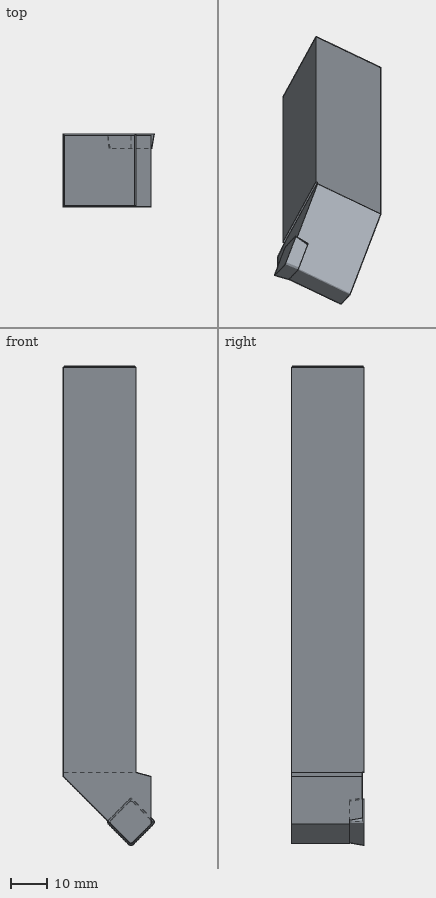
import cadquery as cq
import math

shank_width = 20.0
overall_height = 131.41
end_chamfer = 0.4

insert_side = 9.525
insert_thickness = 3.97
insert_nose_radius = 0.8
relief_angle = 7.0
insert_turn = 45.0
overall_width = 25.0

shoulder_height = 20.05
shoulder_slope = 15.0
head_width = 24.1
head_recess = 0.5
head_tip_radius = 0.4

nose_setback = insert_nose_radius * (math.sqrt(2) - 1)
insert_reach = insert_side / math.sqrt(2) - nose_setback
insert_x = overall_width - insert_reach
insert_z = insert_reach

relief_inset = insert_thickness * math.tan(math.radians(relief_angle))
seat_half_diagonal = (insert_side - 2 * relief_inset) / math.sqrt(2)

tip_z = insert_z - seat_half_diagonal
left_flank_top_z = tip_z + insert_x
right_flank_top_z = tip_z + head_width - insert_x
shoulder_drop = (head_width - shank_width) * math.tan(math.radians(shoulder_slope))


def make_insert_blank():
    """Sharp-cornered square block tapering from the rake face to the seating face."""
    rake_plane = cq.Plane(origin=(insert_x, shank_width, insert_z), xDir=(1, 0, 0), normal=(0, -1, 0))
    return (
        cq.Workplane(rake_plane)
        .transformed(rotate=(0, 0, insert_turn))
        .rect(insert_side, insert_side)
        .extrude(insert_thickness, taper=relief_angle)
    )


def make_insert():
    """Insert blank with its four corners rounded to the nose radius."""
    return make_insert_blank().edges("not(<Y or >Y)").fillet(insert_nose_radius)


def make_holder():
    """Shank and head in one piece, with a sharp-cornered pocket that seats the insert."""
    holder = (
        cq.Workplane("XZ")
        .moveTo(0, overall_height)
        .lineTo(shank_width, overall_height)
        .lineTo(shank_width, shoulder_height)
        .lineTo(head_width, shoulder_height - shoulder_drop)
        .lineTo(head_width, right_flank_top_z)
        .lineTo(insert_x, tip_z)
        .lineTo(0, left_flank_top_z)
        .close()
        .extrude(-shank_width)
    )
    holder = holder.edges("|Y and <Z").fillet(head_tip_radius)
    holder = holder.faces(">Z").chamfer(end_chamfer)

    recess = cq.Workplane("XY").box(head_width, head_recess, shoulder_height, centered=False)
    holder = holder.cut(recess.translate((0, shank_width - head_recess, 0)))
    return holder.cut(make_insert_blank())


insert = make_insert()
holder = make_holder()

result = cq.Compound.makeCompound([holder.solids().val(), insert.solids().val()])